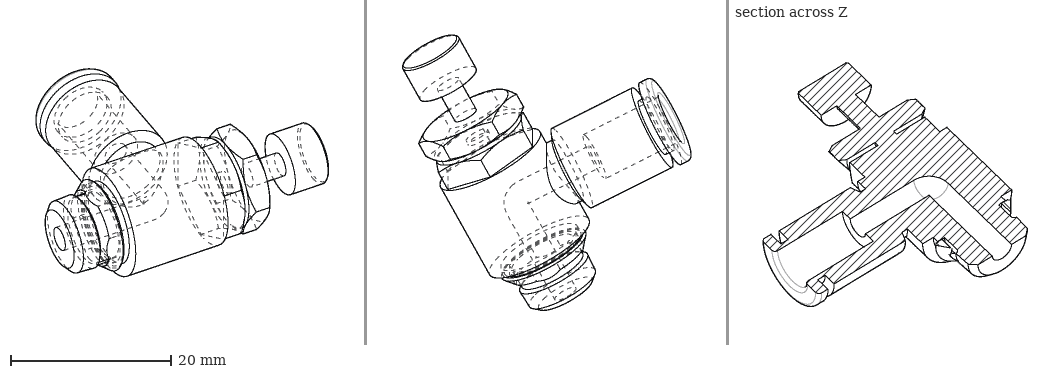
import cadquery as cq
import math


sleeve_radius = 7.1
sleeve_back_y = 5.78
sleeve_front_y = -7.3
hex_width = 12.0
hex_corner_radius = hex_width / math.sqrt(3)
hex_chamfer_angle = 30.0
hex_length = 3.05

collar_radius = 5.4
collar_end_y = -8.2
groove_radius = 4.35
groove_end_y = -10.8
thread_radius = 4.85
thread_lead_length = 0.32
thread_end_radius = 4.73
thread_end_y = -13.43
tip_radius = 3.83
tip_y = -14.25

seal_radius = 6.0
seal_bevel = 0.3
seal_tip_radius = 4.7
seal_back_y = collar_end_y
seal_tip_y = -10.1
seal_hole_radius = 4.98

arm_end_x = -22.5
flange_radius = 5.75
flange_width = 1.55
flange_fillet = 0.55
arm_groove_radius = 3.75
arm_groove_width = 1.12
barrel_radius = 5.55
barrel_end_x = -8.45
barrel_chamfer_length = 0.55
arm_root_radius = 4.22

hose_bore_radius = 3.07
hose_bore_depth = 10.83
hose_bore_fillet = 0.5
passage_radius = 1.5
bend_radius = passage_radius

screw_radius = 1.5
knob_radius = 4.0
knob_length = 4.85
knob_chamfer = 0.2
knob_end_y = tip_y + 36.1
nut_back_y = 12.35
nut_length = 3.0

hex_end_y = sleeve_back_y + hex_length


def revolve_about_y(profile):
    """Turn a closed (radius, y) profile around the bolt axis."""
    return cq.Workplane("XY").polyline(profile).close().revolve(360, (0, 0, 0), (0, 1, 0))


def cylinder_y(radius, start_y, end_y):
    """Round bar on the bolt axis from start_y to end_y."""
    return revolve_about_y([(0, start_y), (radius, start_y), (radius, end_y), (0, end_y)])


def chamfered_hexagon(start_y, end_y, first_corner_angle, chamfer_start):
    """Hexagon on the bolt axis, its corners turned off by a cone at end_y and, if asked, at start_y."""
    angles = [math.radians(first_corner_angle + 60 * i) for i in range(6)]
    corners = [(hex_corner_radius * math.cos(a), hex_corner_radius * math.sin(a)) for a in angles]
    prism = (
        cq.Workplane("XZ", origin=(0, start_y, 0))
        .polyline(corners)
        .close()
        .extrude(start_y - end_y)
    )
    flat_radius = hex_width / 2
    drop = (hex_corner_radius - flat_radius) * math.tan(math.radians(hex_chamfer_angle))
    profile = [(0, end_y), (flat_radius, end_y), (hex_corner_radius, end_y - drop)]
    if chamfer_start:
        profile += [(hex_corner_radius, start_y + drop), (flat_radius, start_y)]
    else:
        profile += [(hex_corner_radius, start_y)]
    profile += [(0, start_y)]
    return prism.intersect(revolve_about_y(profile))


def make_screwed_end():
    """Collar, groove and slightly tapered thread in front of the sleeve."""
    return revolve_about_y([
        (0, sleeve_front_y),
        (collar_radius, sleeve_front_y),
        (collar_radius, collar_end_y),
        (groove_radius, collar_end_y),
        (groove_radius, groove_end_y),
        (thread_radius, groove_end_y - thread_lead_length),
        (thread_end_radius, thread_end_y),
        (tip_radius, tip_y),
        (0, tip_y),
    ])


def make_arm():
    """Stepped hose arm with a flanged mouth, reaching in to the bolt axis."""
    flange_back_x = arm_end_x + flange_width
    barrel_start_x = flange_back_x + arm_groove_width
    root_x = barrel_end_x + barrel_chamfer_length
    profile = [
        (arm_end_x, 0),
        (arm_end_x, flange_radius),
        (flange_back_x, flange_radius),
        (flange_back_x, arm_groove_radius),
        (barrel_start_x, arm_groove_radius),
        (barrel_start_x, barrel_radius),
        (barrel_end_x, barrel_radius),
        (root_x, arm_root_radius),
        (0, arm_root_radius),
        (0, 0),
    ]
    arm = cq.Workplane("XY").polyline(profile).close().revolve(360, (0, 0, 0), (1, 0, 0))
    return arm.faces("<X").edges().fillet(flange_fillet)


def make_hose_bore():
    """Bore for the hose with a rounded mouth."""
    mouth_x = arm_end_x + hose_bore_fillet
    floor_x = arm_end_x + hose_bore_depth
    mouth_radius = hose_bore_radius + hose_bore_fillet
    arc_offset = hose_bore_fillet * math.sqrt(0.5)
    return (
        cq.Workplane("XY")
        .moveTo(arm_end_x, 0)
        .lineTo(arm_end_x, mouth_radius)
        .threePointArc((mouth_x - arc_offset, mouth_radius - arc_offset), (mouth_x, hose_bore_radius))
        .lineTo(floor_x, hose_bore_radius)
        .lineTo(floor_x, 0)
        .close()
        .revolve(360, (0, 0, 0), (1, 0, 0))
    )


def make_flow_passage():
    """Round passage from the arm through a right-angle bend and out of the thread tip."""
    path = (
        cq.Workplane("XY")
        .moveTo(arm_end_x, 0)
        .lineTo(-bend_radius, 0)
        .radiusArc((0, -bend_radius), bend_radius)
        .lineTo(0, tip_y)
    )
    return cq.Workplane("YZ", origin=(arm_end_x, 0, 0)).circle(passage_radius).sweep(path)


def make_adjusting_screw():
    """Shank with knob and lock nut, rising from the back of the hexagon."""
    knob_start_y = knob_end_y - knob_length
    shank = cylinder_y(screw_radius, hex_end_y, knob_start_y)
    knob = cylinder_y(knob_radius, knob_start_y, knob_end_y).faces(">Y").edges().chamfer(knob_chamfer)
    lock_nut = chamfered_hexagon(nut_back_y - nut_length, nut_back_y, 0, chamfer_start=True)
    return shank.union(knob).union(lock_nut)


def make_valve():
    """Sleeve, hexagon, screwed end, hose arm and adjusting screw, with the flow passage cut out."""
    sleeve = cylinder_y(sleeve_radius, sleeve_front_y, sleeve_back_y)
    hexagon = chamfered_hexagon(sleeve_back_y, hex_end_y, 90, chamfer_start=False)
    solid = sleeve.union(hexagon).union(make_screwed_end()).union(make_arm()).union(make_adjusting_screw())
    return solid.cut(make_hose_bore()).cut(make_flow_passage())


def make_seal_ring():
    """Cone with a round hole that has four flat sides, which leave four lips at the narrow end."""
    cone = revolve_about_y([
        (0, seal_back_y),
        (seal_radius - seal_bevel, seal_back_y),
        (seal_radius, seal_back_y - seal_bevel),
        (seal_tip_radius, seal_tip_y),
        (0, seal_tip_y),
    ])
    flat_sides = (
        cq.Workplane("XZ", origin=(0, seal_tip_y, 0))
        .rect(2 * seal_tip_radius, 2 * seal_tip_radius)
        .extrude(seal_tip_y - seal_back_y)
    )
    hole = flat_sides.intersect(cylinder_y(seal_hole_radius, seal_tip_y, seal_back_y))
    return cone.cut(hole)


valve = make_valve()
seal_ring = make_seal_ring()

result = cq.Compound.makeCompound([valve.solids().val(), seal_ring.solids().val()])